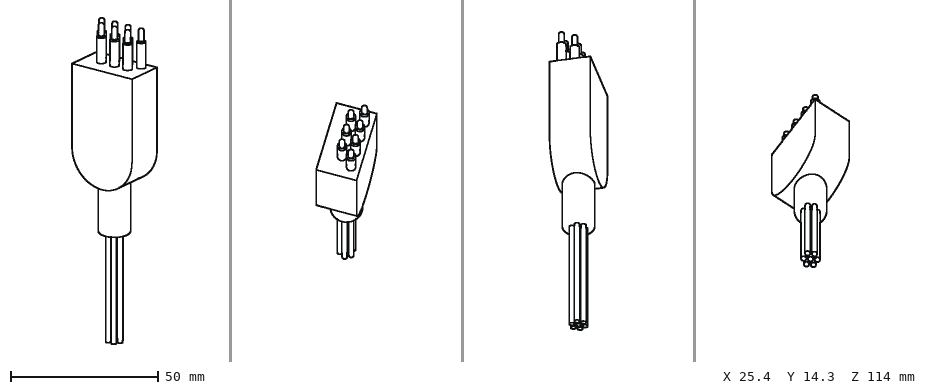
import cadquery as cq
import math

overall_length = 113.97

body_width = 25.4
body_depth = 14.27
body_end_radius = body_width / 2
body_straight_height = 30.2
body_height = body_straight_height + body_end_radius

pin_height = 14.15
shank_diameter = 3.17
shank_length = 9.2
neck_diameter = 1.2
neck_length = 0.4
tip_diameter = 1.99
tip_length = pin_height - shank_length - neck_length
tip_edge_radius = 0.95
pin_pitch = 5.56
pin_row_spacing = 3.97
back_row_count = 4
front_row_count = 3

sleeve_diameter = 11.1
sleeve_exposed_length = 17.5
sleeve_edge_radius = 0.6
sleeve_bottom_z = -(body_height + sleeve_exposed_length)

wire_diameter = 1.78
wire_ring_radius = 2.35
ring_wire_count = 6
wire_end_z = pin_height - overall_length

joint_overlap = 2.0


def make_body():
    half_width = body_width / 2
    outline = (
        cq.Workplane("XZ")
        .moveTo(-half_width, 0)
        .lineTo(half_width, 0)
        .lineTo(half_width, -body_straight_height)
        .threePointArc((0, -body_height), (-half_width, -body_straight_height))
        .close()
    )
    return outline.extrude(body_depth / 2, both=True)


def make_pin(x, y):
    shank = (
        cq.Workplane("XY", origin=(x, y, -joint_overlap))
        .circle(shank_diameter / 2)
        .extrude(joint_overlap + shank_length)
    )
    neck = (
        cq.Workplane("XY", origin=(x, y, shank_length))
        .circle(neck_diameter / 2)
        .extrude(neck_length)
    )
    tip = (
        cq.Workplane("XY", origin=(x, y, shank_length + neck_length))
        .circle(tip_diameter / 2)
        .extrude(tip_length)
        .faces(">Z")
        .edges()
        .fillet(tip_edge_radius)
    )
    return shank.union(neck).union(tip)


def pin_row(count, y):
    """Centres of a row of pins spread evenly about x = 0."""
    return [((i - (count - 1) / 2) * pin_pitch, y) for i in range(count)]


def make_sleeve():
    sleeve_top_z = -body_straight_height
    return (
        cq.Workplane("XY", origin=(0, 0, sleeve_bottom_z))
        .circle(sleeve_diameter / 2)
        .extrude(sleeve_top_z - sleeve_bottom_z)
        .faces("<Z")
        .edges()
        .fillet(sleeve_edge_radius)
    )


def make_wire(x, y):
    wire_top_z = sleeve_bottom_z + joint_overlap
    return (
        cq.Workplane("XY", origin=(x, y, wire_end_z))
        .circle(wire_diameter / 2)
        .extrude(wire_top_z - wire_end_z)
    )


def wire_centres():
    centres = [(0, 0)]
    for i in range(ring_wire_count):
        angle = 2 * math.pi * i / ring_wire_count
        centres.append((wire_ring_radius * math.cos(angle), wire_ring_radius * math.sin(angle)))
    return centres


result = make_body().union(make_sleeve())

for x, y in pin_row(back_row_count, pin_row_spacing) + pin_row(front_row_count, 0):
    result = result.union(make_pin(x, y))

for x, y in wire_centres():
    result = result.union(make_wire(x, y))